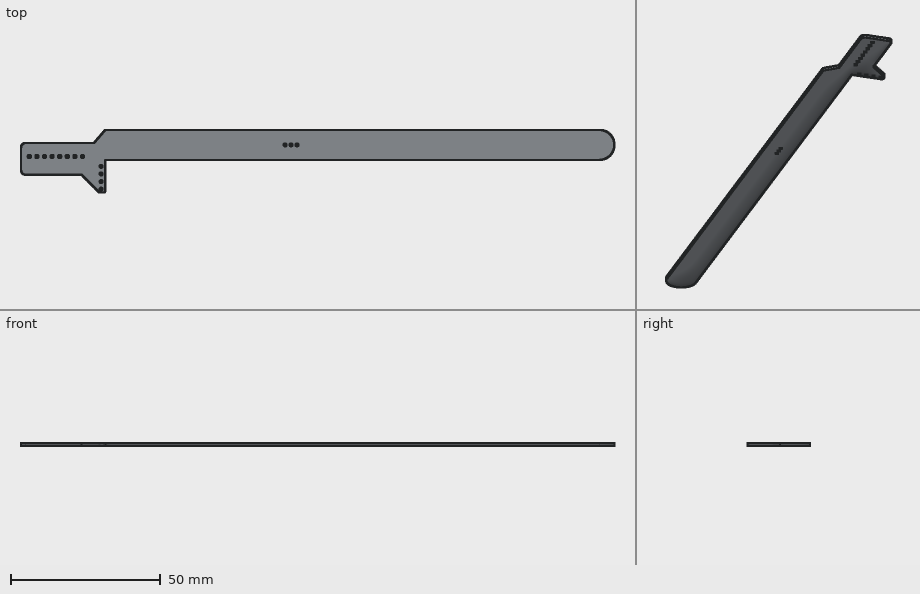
import cadquery as cq

length = 198.0
height = 21.0
thickness = 1.0

arm_width = 10.0
arm_radius = arm_width / 2
arm_bottom = height - arm_width
arm_middle = height - arm_radius

head_bottom = 6.0
head_top = 16.6
head_corner_radius = 1.5
shoulder_start = 24.4
jaw_right = 28.1
jaw_tip_width = 2.0
jaw_start = jaw_right - jaw_tip_width - head_bottom
jaw_tip_radius = 0.5

small_hole_diameter = 0.8
head_hole_diameter = 0.91
hole_pitch = 2.53
head_hole_count = 8
head_hole_start = 2.8
head_hole_y = 12.0
jaw_hole_count = 4
jaw_hole_x = 26.7
jaw_hole_start = 1.2
arm_hole_count = 3
arm_hole_pitch = 2.0
arm_hole_start = 88.0


def make_plate():
    """Flat outline of arm, head and jaw, with rounded outer corners."""
    plate = (
        cq.Workplane("XY")
        .moveTo(0, head_bottom)
        .lineTo(jaw_start, head_bottom)
        .lineTo(jaw_right - jaw_tip_width, 0)
        .lineTo(jaw_right, 0)
        .lineTo(jaw_right, arm_bottom)
        .lineTo(length - arm_radius, arm_bottom)
        .threePointArc((length, arm_middle), (length - arm_radius, height))
        .lineTo(jaw_right, height)
        .lineTo(shoulder_start, head_top)
        .lineTo(0, head_top)
        .close()
        .extrude(thickness)
    )
    plate = plate.edges("|Z and <X").fillet(head_corner_radius)
    return plate.edges("|Z").edges("<Y").fillet(jaw_tip_radius)


def drill(plate, centers, diameter):
    """Cut through holes at the given XY centers."""
    drills = cq.Workplane("XY").pushPoints(centers).circle(diameter / 2).extrude(thickness)
    return plate.cut(drills)


head_holes = [(head_hole_start + i * hole_pitch, head_hole_y) for i in range(head_hole_count)]
jaw_holes = [(jaw_hole_x, jaw_hole_start + i * hole_pitch) for i in range(jaw_hole_count)]
arm_holes = [(arm_hole_start + i * arm_hole_pitch, arm_middle) for i in range(arm_hole_count)]

result = make_plate()
result = drill(result, jaw_holes + arm_holes, small_hole_diameter)
result = drill(result, head_holes, head_hole_diameter)